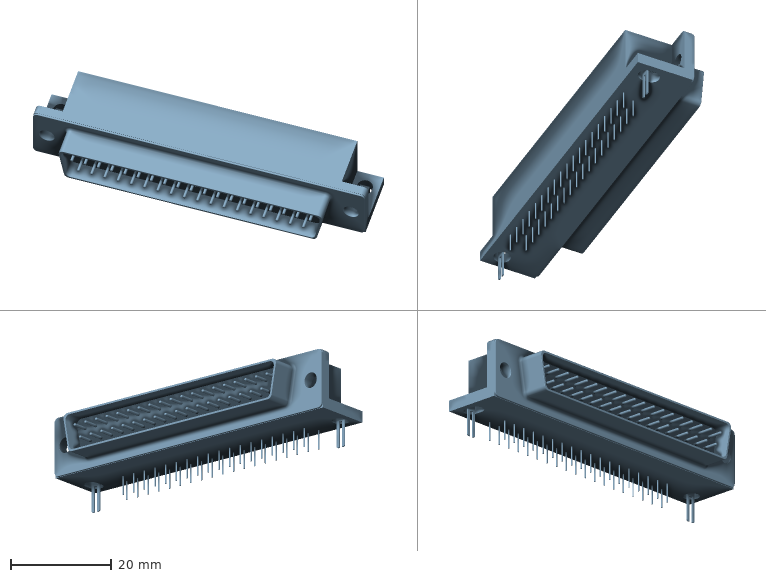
import cadquery as cq
import math


length = 69.4
height = 12.5
back_y = 12.7
flange_back_y = 2.3
plate_thickness = 0.4
plate_inset = 0.1
plate_edge_rounding = 0.1
corner_radius = 1.0
block_width = 58.3
bracket_height = 2.35

mount_spacing = 63.5
mount_hole_diameter = 3.2
lock_slot_width = 3.2
left_slot_length = 4.6
right_slot_length = 3.55
lock_slot_back_y = 11.0
mid_z = height / 2

shell_projection = 5.75
shell_width = 54.0
shell_height = 8.3
shell_wall = 0.4
shell_corner_radius = 1.05
shell_slant = math.radians(10)
shell_foot_radius = 0.55
foot_search = 0.35
shell_rim_rounding = 0.1
insert_face_y = -2.1

upper_count = 19
upper_row_span = 49.75
pitch = upper_row_span / (upper_count - 1)
row_spacing = 2.85
contact_diameter = 0.6
contact_tip_rounding = 0.2
contact_tip_y = -5.55
solder_pin_diameter = 0.3
solder_pin_depth = 3.95
solder_front_y = 8.05
embed = 0.7

lock_width = 2.0
lock_thickness = 0.3
lock_leg_height = 2.3
lock_prong_back_y = 9.65
lock_prong_depth = 5.4
lock_slit_width = 0.75
lock_tip_chamfer = 0.2
lock_bend_radius = 0.3
lock_leg_bend_radius = 0.15


def box(x_range, y_range, z_range):
    """Axis-aligned box between the given limits."""
    (x0, x1), (y0, y1), (z0, z1) = x_range, y_range, z_range
    return cq.Workplane("XY").box(x1 - x0, y1 - y0, z1 - z0, centered=False).translate((x0, y0, z0))


def make_housing():
    half = length / 2
    flange = box((-half, half), (plate_thickness, flange_back_y), (0, height))
    flange = flange.edges("|Y and >Z").fillet(corner_radius)
    plate_half = half - plate_inset
    plate = box((-plate_half, plate_half), (0, plate_thickness), (plate_inset, height - plate_inset))
    plate = plate.edges("|Y").fillet(corner_radius)
    bracket = box((-half, half), (plate_thickness, back_y), (0, bracket_height))
    block = box((-block_width / 2, block_width / 2), (plate_thickness, back_y), (0, height))
    return flange.union(bracket).union(block).union(plate)


def cut_lock_slot(body, x, slot_length):
    """Cut a slot along Y through the bracket."""
    center_y = lock_slot_back_y - slot_length / 2
    slot = cq.Workplane("XY").center(x, center_y).slot2D(slot_length, lock_slot_width, 90)
    return body.cut(slot.extrude(bracket_height))


def cut_mounting_holes(body):
    mount_x = mount_spacing / 2
    centers = [(-mount_x, mid_z), (mount_x, mid_z)]
    holes = cq.Workplane("XZ").pushPoints(centers).circle(mount_hole_diameter / 2).extrude(-flange_back_y)
    body = body.cut(holes).faces("<Y").edges().fillet(plate_edge_rounding)
    body = cut_lock_slot(body, -mount_x, left_slot_length)
    return cut_lock_slot(body, mount_x, right_slot_length)


def d_prism(inset, front_y, rear_y):
    """Solid D outline, wide side up, shrunk by `inset` on every side."""
    half_height = shell_height / 2 - inset
    half_width = shell_width / 2 - inset / math.cos(shell_slant)
    lean = half_height * math.tan(shell_slant)
    top = half_width + lean
    bottom = half_width - lean
    outline = [
        (-top, mid_z + half_height),
        (top, mid_z + half_height),
        (bottom, mid_z - half_height),
        (-bottom, mid_z - half_height),
    ]
    solid = cq.Workplane("XZ", origin=(0, front_y, 0)).polyline(outline).close().extrude(front_y - rear_y)
    return solid.edges("|Y").fillet(shell_corner_radius)


def add_shell(body):
    shell = d_prism(0, -shell_projection, plate_thickness).faces("<Y").edges().fillet(shell_rim_rounding)
    body = body.union(shell)
    foot_edges = cq.selectors.BoxSelector(
        (-block_width / 2, -foot_search, foot_search),
        (block_width / 2, foot_search, height - foot_search),
    )
    body = body.edges(foot_edges).fillet(shell_foot_radius)
    return body.cut(d_prism(shell_wall, -shell_projection, insert_face_y))


def add_contact_row(body, count, z, solder_y):
    contact = (
        cq.Workplane("XZ", origin=(0, contact_tip_y, 0))
        .circle(contact_diameter / 2)
        .extrude(contact_tip_y - insert_face_y - embed)
        .faces("<Y").edges().fillet(contact_tip_rounding)
    )
    pin = (
        cq.Workplane("XY", origin=(0, solder_y, -solder_pin_depth))
        .circle(solder_pin_diameter / 2)
        .extrude(solder_pin_depth + embed)
    )
    for index in range(count):
        x = (index - (count - 1) / 2) * pitch
        body = body.union(contact.translate((x, 0, z))).union(pin.translate((x, 0, 0)))
    return body


def make_board_lock():
    """Bent strip: leg up the flange, tongue along the bracket, slit prong down through the hole."""
    half = lock_width / 2
    top = bracket_height + lock_thickness
    profile = [
        (flange_back_y, bracket_height),
        (lock_prong_back_y - lock_thickness, bracket_height),
        (lock_prong_back_y - lock_thickness, -lock_prong_depth),
        (lock_prong_back_y, -lock_prong_depth),
        (lock_prong_back_y, top),
        (flange_back_y + lock_thickness, top),
        (flange_back_y + lock_thickness, bracket_height + lock_leg_height),
        (flange_back_y, bracket_height + lock_leg_height),
    ]
    strip = cq.Workplane("YZ").polyline(profile).close().extrude(half, both=True)
    strip = strip.faces(">Y").edges(">Z").fillet(lock_bend_radius)
    leg_bend = cq.selectors.NearestToPointSelector((0, flange_back_y + lock_thickness, top))
    strip = strip.edges("|X").edges(leg_bend).fillet(lock_leg_bend_radius)
    strip = strip.faces("<Z").edges("|Y").chamfer(lock_tip_chamfer)
    slit = box(
        (-lock_slit_width / 2, lock_slit_width / 2),
        (lock_prong_back_y - lock_thickness, lock_prong_back_y),
        (-lock_prong_depth, 0),
    )
    return strip.cut(slit)


connector = add_shell(cut_mounting_holes(make_housing()))
connector = add_contact_row(connector, upper_count, mid_z + row_spacing / 2, solder_front_y + row_spacing)
connector = add_contact_row(connector, upper_count - 1, mid_z - row_spacing / 2, solder_front_y)
for side in (-1, 1):
    connector = connector.union(make_board_lock().translate((side * mount_spacing / 2, 0, 0)))

result = connector